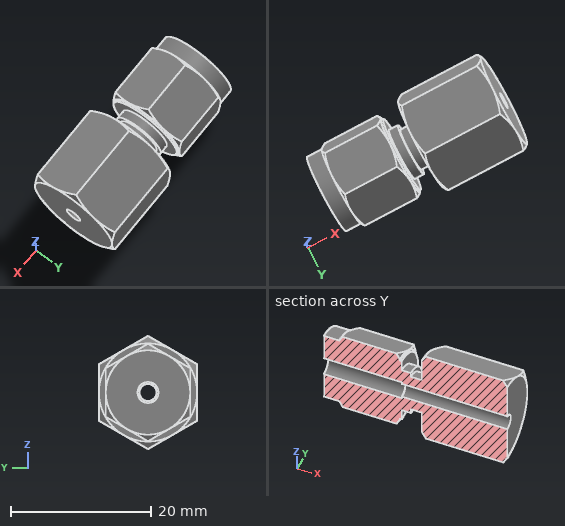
import cadquery as cq
import math

LENGTH = 28.7

NUT_FLATS = 12.03
NUT_RIM_END = 2.4
NUT_HEX_END = 11.9
NUT_COLLAR_DIAMETER = 11.48
NUT_COLLAR_END = 12.2

SHOULDER_DIAMETER = 7.95
SHOULDER_END = 13.63
NECK_DIAMETER = 6.5
NECK_END = 15.3
BODY_FLATS = 14.0

BORE_DIAMETER = 2.4
SOCKET_DIAMETER = 3.0
SOCKET_END = NUT_COLLAR_END

CHAMFER_ANGLE = math.radians(30)


def cylinder(diameter, start, end):
    """Round section along X between two stations."""
    return cq.Workplane("YZ", origin=(start, 0, 0)).circle(diameter / 2).extrude(end - start)


def chamfered_hex(flats, start, end):
    """Hexagon along X, corners up and down, with both ends turned to a cone down to the flats."""
    flat_radius = flats / 2
    corner_radius = flat_radius / math.cos(math.pi / 6)
    chamfer_length = (corner_radius - flat_radius) * math.tan(CHAMFER_ANGLE)
    prism = (
        cq.Workplane("YZ", origin=(start, 0, 0))
        .transformed(rotate=(0, 0, 90))
        .polygon(6, 2 * corner_radius)
        .extrude(end - start)
    )
    turned_envelope = (
        cq.Workplane("XY")
        .moveTo(start, 0)
        .lineTo(start, flat_radius)
        .lineTo(start + chamfer_length, corner_radius)
        .lineTo(end - chamfer_length, corner_radius)
        .lineTo(end, flat_radius)
        .lineTo(end, 0)
        .close()
        .revolve(360, (0, 0, 0), (1, 0, 0))
    )
    return prism.intersect(turned_envelope)


def compression_nut():
    """Round rim, hexagon and thin rear collar."""
    rim = cylinder(NUT_FLATS, 0, NUT_RIM_END)
    hexagon = chamfered_hex(NUT_FLATS, NUT_RIM_END, NUT_HEX_END)
    collar = cylinder(NUT_COLLAR_DIAMETER, NUT_HEX_END, NUT_COLLAR_END)
    return rim.union(hexagon).union(collar)


def fitting_body():
    """Shoulder against the nut, narrower neck and large hexagon."""
    shoulder = cylinder(SHOULDER_DIAMETER, NUT_COLLAR_END, SHOULDER_END)
    neck = cylinder(NECK_DIAMETER, SHOULDER_END, NECK_END)
    hexagon = chamfered_hex(BODY_FLATS, NECK_END, LENGTH)
    return shoulder.union(neck).union(hexagon)


def stepped_bore():
    """Through bore with a wider tube socket at the nut end."""
    bore = cylinder(BORE_DIAMETER, 0, LENGTH)
    socket = cylinder(SOCKET_DIAMETER, 0, SOCKET_END)
    return bore.union(socket)


result = compression_nut().union(fitting_body()).cut(stepped_bore())